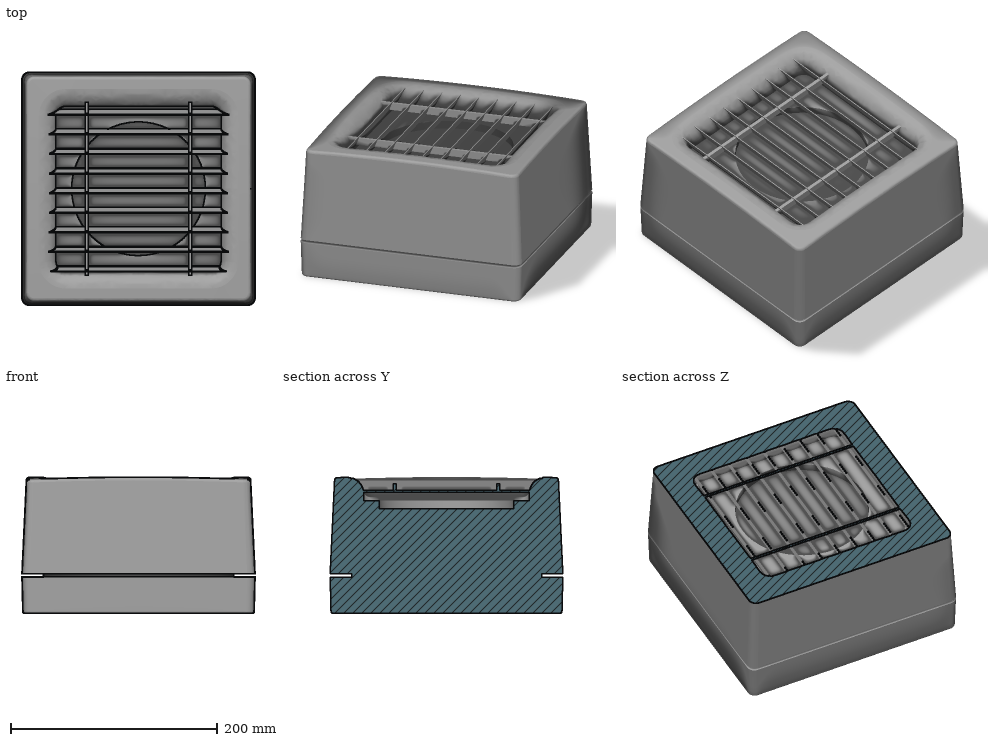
import cadquery as cq
import math

WIDTH = 226.0
HEIGHT = 132.2
CORNER_RADIUS = 7.7

BASE_HEIGHT = 35.5
BASE_REAR_WIDTH = 224.2
BASE_EDGE_RADIUS = 2.0

NECK_DIAMETER = 184.9
GAP = 3.0

HOOD_TOP_WIDTH = 217.0
HOOD_EDGE_RADIUS = 3.0
DOME_RADIUS = 2486.0

OPENING_WIDTH = 160.0
OPENING_CORNER_RADIUS = 10.0
MOUTH_RADIUS = 16.0
FLOOR_Z = 109.4

RECESS_DIAMETER = 129.7
RECESS_DEPTH = 7.7

SLAT_COUNT = 9
SLAT_PITCH = 19.0
SLAT_MIDDLE_Y = -4.3
SLAT_TOP_Z = 128.5
SLAT_DROP = 11.8
SLAT_LEAN = 5.0
SLAT_THICKNESS = 1.0

BAR_SPACING = 100.1
BAR_WIDTH = 3.2
BAR_TOP_Z = 126.0
BAR_HEIGHT = 7.0

ROOT_DEPTH = 11.3

MOUTH_WIDTH = OPENING_WIDTH + 2 * MOUTH_RADIUS
HOOD_Z = BASE_HEIGHT + GAP
GRILLE_LENGTH = OPENING_WIDTH + 2 * ROOT_DEPTH


def drafted_block(bottom_width, top_width, bottom_z, height):
    """Square block whose four sides slope evenly, with rounded upright corners."""
    return (
        cq.Workplane("XY", origin=(0, 0, bottom_z))
        .rect(bottom_width, bottom_width)
        .workplane(offset=height)
        .rect(top_width, top_width)
        .loft(ruled=True)
        .edges("not #Z")
        .fillet(CORNER_RADIUS)
    )


def make_base():
    base = drafted_block(BASE_REAR_WIDTH, WIDTH, 0, BASE_HEIGHT)
    return base.faces("<Z").edges().fillet(BASE_EDGE_RADIUS)


def make_neck():
    return (
        cq.Workplane("XY", origin=(0, 0, BASE_HEIGHT))
        .circle(NECK_DIAMETER / 2)
        .extrude(GAP)
    )


def make_hood():
    """Drafted hood with a crowned front and a square opening with a rounded mouth."""
    rim_sag = DOME_RADIUS - math.sqrt(DOME_RADIUS**2 - (MOUTH_WIDTH / 2) ** 2)
    apex_z = HEIGHT + rim_sag
    hood = drafted_block(WIDTH, HOOD_TOP_WIDTH, HOOD_Z, apex_z - HOOD_Z)
    dome = cq.Workplane("XY", origin=(0, 0, apex_z - DOME_RADIUS)).sphere(DOME_RADIUS)
    hood = hood.intersect(dome)
    hood = hood.faces(">Z").edges().fillet(HOOD_EDGE_RADIUS)
    opening = (
        cq.Workplane("XY", origin=(0, 0, FLOOR_Z))
        .rect(OPENING_WIDTH, OPENING_WIDTH)
        .extrude(HEIGHT)
        .edges("|Z")
        .fillet(OPENING_CORNER_RADIUS)
    )
    rim_zone = cq.selectors.BoxSelector(
        (-MOUTH_WIDTH / 2, -MOUTH_WIDTH / 2, HEIGHT - MOUTH_RADIUS / 2),
        (MOUTH_WIDTH / 2, MOUTH_WIDTH / 2, apex_z),
    )
    hood = hood.cut(opening).edges(rim_zone).fillet(MOUTH_RADIUS)
    recess = (
        cq.Workplane("XY", origin=(0, 0, FLOOR_Z - RECESS_DEPTH))
        .circle(RECESS_DIAMETER / 2)
        .extrude(RECESS_DEPTH)
    )
    return hood.cut(recess)


def make_slat(front_y):
    """Thin leaning blade whose front edge is centred on front_y."""
    half_thickness = SLAT_THICKNESS / 2
    rear_y = front_y + SLAT_LEAN
    rear_z = SLAT_TOP_Z - SLAT_DROP
    return (
        cq.Workplane("YZ")
        .polyline([
            (front_y - half_thickness, SLAT_TOP_Z),
            (front_y + half_thickness, SLAT_TOP_Z),
            (rear_y + half_thickness, rear_z),
            (rear_y - half_thickness, rear_z),
        ])
        .close()
        .extrude(GRILLE_LENGTH / 2, both=True)
    )


def make_bar(x):
    return cq.Workplane("XY", origin=(x, 0, BAR_TOP_Z - BAR_HEIGHT / 2)).box(
        BAR_WIDTH, GRILLE_LENGTH, BAR_HEIGHT
    )


result = make_base().union(make_neck()).union(make_hood())
for index in range(SLAT_COUNT):
    steps_from_middle = index - (SLAT_COUNT - 1) / 2
    result = result.union(make_slat(SLAT_MIDDLE_Y + steps_from_middle * SLAT_PITCH))
for side in (-1, 1):
    result = result.union(make_bar(side * BAR_SPACING / 2))